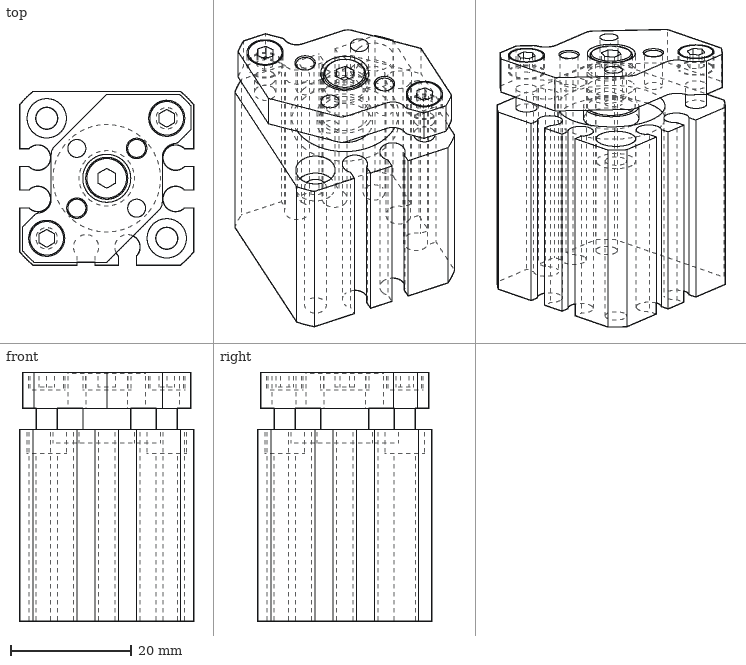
import cadquery as cq
import math

TOTAL_HEIGHT = 41.5
HOUSING_WIDTH = 29.0
HOUSING_HEIGHT = 32.0
PLATE_THICKNESS = 6.0
PLATE_WIDTH = 28.0
CORNER_OFFSET = 10.0

HOUSING_HALF = HOUSING_WIDTH / 2
PLATE_HALF = PLATE_WIDTH / 2
PLATE_BOTTOM = TOTAL_HEIGHT - PLATE_THICKNESS

HOUSING_CORNER_RADIUS = 19.0
SLOT_OFFSET = 3.45
SLOT_MOUTH_WIDTH = 2.95
SLOT_BORE_DIAMETER = 4.2
SLOT_BORE_DEPTH = 3.05
MOUNT_HOLE_DIAMETER = 3.6
MOUNT_BORE_DIAMETER = 6.55
MOUNT_BORE_DEPTH = 4.03
RECESS_DIAMETER = 17.93
RECESS_DEPTH = 2.25
BOSS_DIAMETER = 9.2

PLATE_CORNER_RADIUS = 18.5
WAIST_HALF_WIDTH = 9.25
WAIST_ROUND_RADIUS = 1.9
LOBE_EDGE_Y = 8.1
RELIEF_RADIUS = 2.35
LOBE_ROUND_RADIUS = 1.05

PISTON_ROD_DIAMETER = 8.0
GUIDE_ROD_DIAMETER = 3.55
PLATE_HOLE_OFFSET = 5.0
PLATE_HOLE_DIAMETER = 3.0
PIN_HOLE_RIM_DIAMETER = 3.4
PIN_HOLE_RIM_DEPTH = 0.2
SCREW_SEAT_DEPTH = 3.0
HEX_DEPTH = 2.5
PISTON_SEAT_DIAMETER = 8.0
PISTON_SCREW_DIAMETER = 7.0
PISTON_SCREW_CHAMFER = 0.2
PISTON_HEX_WIDTH = 2.85
GUIDE_SEAT_DIAMETER = 6.0
GUIDE_SCREW_DIAMETER = 5.6
GUIDE_HEX_WIDTH = 2.57

ROD_CORNERS = [(CORNER_OFFSET, CORNER_OFFSET), (-CORNER_OFFSET, -CORNER_OFFSET)]
MOUNT_CORNERS = [(-CORNER_OFFSET, CORNER_OFFSET), (CORNER_OFFSET, -CORNER_OFFSET)]


def cylinder(center, diameter, bottom, top):
    """Upright cylinder between two heights."""
    return cq.Workplane("XY", origin=(*center, bottom)).circle(diameter / 2).extrude(top - bottom)


def sensor_slot(side_angle, offset):
    """Cutter for a slot with a narrow mouth and a round bore, in the side facing side_angle."""
    bore_x = HOUSING_HALF - SLOT_BORE_DEPTH
    bore = cylinder((bore_x, offset), SLOT_BORE_DIAMETER, 0, HOUSING_HEIGHT)
    mouth = (
        cq.Workplane("XY")
        .center(bore_x + SLOT_BORE_DEPTH / 2, offset)
        .rect(SLOT_BORE_DEPTH, SLOT_MOUTH_WIDTH)
        .extrude(HOUSING_HEIGHT)
    )
    return bore.union(mouth).rotate((0, 0, 0), (0, 0, 1), side_angle)


def make_housing():
    housing = cq.Workplane("XY").rect(HOUSING_WIDTH, HOUSING_WIDTH).extrude(HOUSING_HEIGHT)
    housing = housing.intersect(cylinder((0, 0), 2 * HOUSING_CORNER_RADIUS, 0, HOUSING_HEIGHT))

    for side_angle in (0, 180, 270):
        for offset in (-SLOT_OFFSET, SLOT_OFFSET):
            housing = housing.cut(sensor_slot(side_angle, offset))

    for corner in MOUNT_CORNERS:
        housing = housing.cut(cylinder(corner, MOUNT_HOLE_DIAMETER, 0, HOUSING_HEIGHT))
        bore_floor = HOUSING_HEIGHT - MOUNT_BORE_DEPTH
        housing = housing.cut(cylinder(corner, MOUNT_BORE_DIAMETER, bore_floor, HOUSING_HEIGHT))

    recess_floor = HOUSING_HEIGHT - RECESS_DEPTH
    recess = cylinder((0, 0), RECESS_DIAMETER, recess_floor, HOUSING_HEIGHT)
    boss = cylinder((0, 0), BOSS_DIAMETER, recess_floor, HOUSING_HEIGHT)
    return housing.cut(recess.cut(boss))


def no_turn(point):
    return point


def half_turn(point):
    return (-point[0], -point[1])


def plate_outline():
    """Z-shaped outline that repeats after half a turn, started at the middle of the +Y side."""
    diagonal = math.cos(math.pi / 4)
    corner_end = math.sqrt(PLATE_CORNER_RADIUS**2 - PLATE_HALF**2)
    corner_mid = PLATE_CORNER_RADIUS * diagonal

    relief_x = WAIST_HALF_WIDTH + RELIEF_RADIUS
    relief_y = SLOT_OFFSET
    relief_end = (WAIST_HALF_WIDTH, relief_y)

    drop = LOBE_EDGE_Y - PLATE_HALF + LOBE_ROUND_RADIUS / diagonal
    center_gap = RELIEF_RADIUS + LOBE_ROUND_RADIUS
    line_gap = (relief_x + drop - relief_y) * diagonal
    along = math.sqrt(center_gap**2 - line_gap**2)
    round_x = relief_x + (along - line_gap) * diagonal
    round_y = round_x + drop
    lobe_start = (round_x + LOBE_ROUND_RADIUS * diagonal, round_y - LOBE_ROUND_RADIUS * diagonal)
    share = RELIEF_RADIUS / center_gap
    relief_start = (relief_x + (round_x - relief_x) * share, relief_y + (round_y - relief_y) * share)

    setback = WAIST_ROUND_RADIUS * math.tan(math.pi / 8)
    knee_y = WAIST_HALF_WIDTH - PLATE_HALF
    waist_end = (WAIST_HALF_WIDTH, knee_y + setback)
    knee_end = (WAIST_HALF_WIDTH - setback * diagonal, knee_y - setback * diagonal)

    outline = cq.Workplane("XY", origin=(0, 0, PLATE_BOTTOM)).moveTo(0, PLATE_HALF)
    for turn in (no_turn, half_turn):
        outline = (
            outline.lineTo(*turn((corner_end, PLATE_HALF)))
            .threePointArc(turn((corner_mid, corner_mid)), turn((PLATE_HALF, corner_end)))
            .lineTo(*turn((PLATE_HALF, LOBE_EDGE_Y)))
            .lineTo(*turn(lobe_start))
            .radiusArc(turn(relief_start), LOBE_ROUND_RADIUS)
            .radiusArc(turn(relief_end), -RELIEF_RADIUS)
            .lineTo(*turn(waist_end))
            .radiusArc(turn(knee_end), WAIST_ROUND_RADIUS)
            .lineTo(*turn((0, -PLATE_HALF)))
        )
    return outline.close()


def screw_seat_gap(center, seat_diameter, screw_diameter, chamfer, hex_width):
    """Cutter for the gap around a sunk screw head and for its hexagon socket."""
    seat_floor = TOTAL_HEIGHT - SCREW_SEAT_DEPTH
    head = cylinder(center, screw_diameter, seat_floor, TOTAL_HEIGHT)
    if chamfer:
        head = head.faces(">Z").chamfer(chamfer)
    socket = (
        cq.Workplane("XY", origin=(*center, TOTAL_HEIGHT - HEX_DEPTH))
        .polygon(6, hex_width, circumscribed=True)
        .extrude(HEX_DEPTH)
    )
    return cylinder(center, seat_diameter, seat_floor, TOTAL_HEIGHT).cut(head).union(socket)


def countersink(center):
    """Cone that widens a plate hole to its rim at the top face."""
    return (
        cq.Workplane("XY", origin=(*center, TOTAL_HEIGHT - PIN_HOLE_RIM_DEPTH))
        .circle(PLATE_HOLE_DIAMETER / 2)
        .workplane(offset=PIN_HOLE_RIM_DEPTH)
        .circle(PIN_HOLE_RIM_DIAMETER / 2)
        .loft(ruled=True)
    )


def make_moving_unit():
    unit = plate_outline().extrude(PLATE_THICKNESS)

    unit = unit.union(cylinder((0, 0), PISTON_ROD_DIAMETER, HOUSING_HEIGHT, PLATE_BOTTOM))
    for corner in ROD_CORNERS:
        unit = unit.union(cylinder(corner, GUIDE_ROD_DIAMETER, HOUSING_HEIGHT, PLATE_BOTTOM))

    unit = unit.cut(
        screw_seat_gap(
            (0, 0), PISTON_SEAT_DIAMETER, PISTON_SCREW_DIAMETER, PISTON_SCREW_CHAMFER, PISTON_HEX_WIDTH
        )
    )
    for corner in ROD_CORNERS:
        unit = unit.cut(
            screw_seat_gap(corner, GUIDE_SEAT_DIAMETER, GUIDE_SCREW_DIAMETER, 0, GUIDE_HEX_WIDTH)
        )

    for x_side in (-1, 1):
        for y_side in (-1, 1):
            center = (x_side * PLATE_HOLE_OFFSET, y_side * PLATE_HOLE_OFFSET)
            hole = cylinder(center, PLATE_HOLE_DIAMETER, PLATE_BOTTOM, TOTAL_HEIGHT)
            if x_side == y_side:
                hole = hole.union(countersink(center))
            unit = unit.cut(hole)
    return unit


housing = make_housing()
moving_unit = make_moving_unit()

result = cq.Compound.makeCompound([housing.val(), moving_unit.val()])